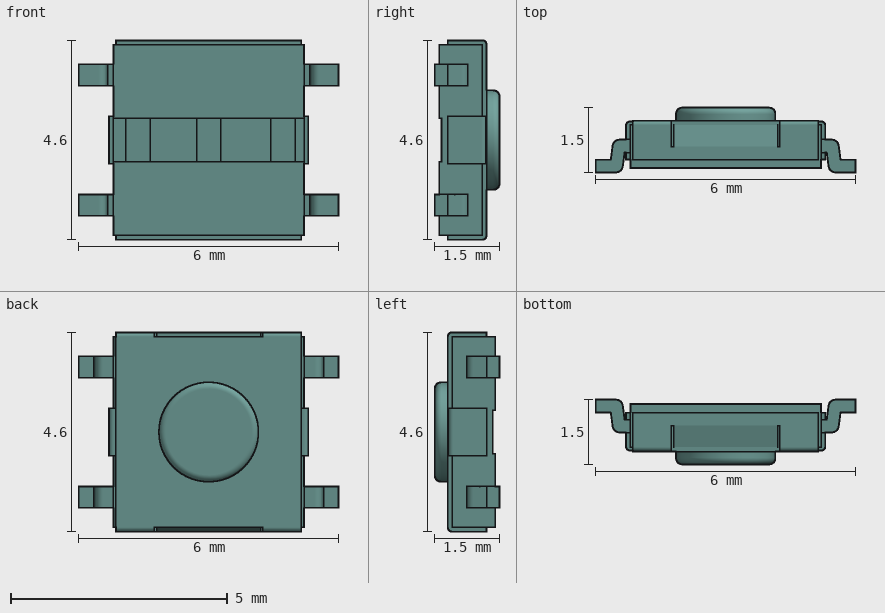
import cadquery as cq
import math

lead_span = 6.0
total_height = 1.5

body_width = 4.4
body_bottom = 0.1
body_top = 1.1

channel_width = 1.0
channel_depth = 0.055
pocket_width = 0.56
pocket_depth = 0.42
pocket_centers = (-1.63, 0.0, 1.715)

cover_width = 4.28
sheet = 0.1
cover_top = body_top + sheet
cover_bottom = 0.3
cover_length = body_width + 2 * sheet
fold_radius = sheet

notch_width = 2.5
tongue_width = 2.4
notch_bottom = 0.6

tab_width = 1.1
tab_drop = 0.02
tab_top = cover_top - tab_drop

button_diameter = 2.3
button_edge_radius = 0.15

lead_width = 0.5
lead_pitch = 3.0
lead_thickness = 0.3
lead_top = 0.76
lead_lean = math.radians(7.5)
lead_bend_radius = 0.17
lead_heel_x = 2.65
lead_embed = 0.06
lead_root_x = body_width / 2 - lead_embed


def box(width, length, y_low, y_high):
    """Block centred in X and Z that spans y_low to y_high."""
    return cq.Workplane("XY").box(width, y_high - y_low, length).translate((0, (y_low + y_high) / 2, 0))


def make_body():
    body = box(body_width, body_width, body_bottom, body_top)
    channel_floor = body_bottom + channel_depth
    body = body.cut(box(body_width, channel_width, body_bottom, channel_floor))
    pocket = box(pocket_width, channel_width, channel_floor, channel_floor + pocket_depth)
    for x in pocket_centers:
        body = body.cut(pocket.translate((x, 0, 0)))
    return body


def make_cover():
    top_plate = box(cover_width, cover_length, body_top, cover_top)
    end_walls = box(cover_width, cover_length, cover_bottom, body_top)
    end_walls = end_walls.cut(box(cover_width, body_width, cover_bottom, body_top))
    cover = top_plate.union(end_walls).edges("|X and >Y").fillet(fold_radius)
    notch = box(notch_width, cover_length, notch_bottom, cover_top)
    cover = cover.cut(notch.cut(box(notch_width, body_width, notch_bottom, cover_top)))
    return cover


def make_tongue():
    """Wedge on the +Z end whose outer face leans in until it meets the body."""
    return (
        cq.Workplane("YZ")
        .moveTo(notch_bottom, body_width / 2)
        .lineTo(notch_bottom, cover_length / 2)
        .lineTo(body_top, body_width / 2)
        .close()
        .extrude(tongue_width / 2, both=True)
    )


def make_side_tabs():
    tabs = box(cover_length, tab_width, cover_bottom, tab_top)
    tabs = tabs.edges("|Z and >Y").fillet(fold_radius)
    return tabs.cut(box(body_width, tab_width, cover_bottom, body_top))


def make_button():
    button = cq.Workplane("XZ").circle(button_diameter / 2).extrude(-(total_height - cover_top))
    return button.faces(">Y").edges().fillet(button_edge_radius).translate((0, cover_top, 0))


def make_lead():
    """Lead on the +X side, centred on Z = 0."""
    slope = math.tan(lead_lean)
    lead_underside = lead_top - lead_thickness
    shoulder_x = lead_heel_x - lead_underside * slope
    slope_offset = lead_thickness / math.cos(lead_lean)
    ankle_x = lead_heel_x - (lead_underside - lead_thickness) * slope - slope_offset
    sole_x = lead_heel_x + lead_thickness * slope - slope_offset
    profile = [
        (lead_root_x, lead_top),
        (shoulder_x, lead_top),
        (lead_heel_x, lead_thickness),
        (lead_span / 2, lead_thickness),
        (lead_span / 2, 0),
        (sole_x, 0),
        (ankle_x, lead_underside),
        (lead_root_x, lead_underside),
    ]
    lead = cq.Workplane("XY").polyline(profile).close().extrude(lead_width / 2, both=True)
    for x, y in ((shoulder_x, lead_top), (sole_x, 0)):
        lead = lead.edges(cq.NearestToPointSelector((x, y, 0))).fillet(lead_bend_radius)
    return lead


result = make_body().union(make_cover()).union(make_side_tabs()).union(make_button())

tongue = make_tongue()
result = result.union(tongue).union(tongue.mirror("XY"))

lead = make_lead()
for z in (-lead_pitch / 2, lead_pitch / 2):
    right_lead = lead.translate((0, 0, z))
    result = result.union(right_lead).union(right_lead.mirror("YZ"))